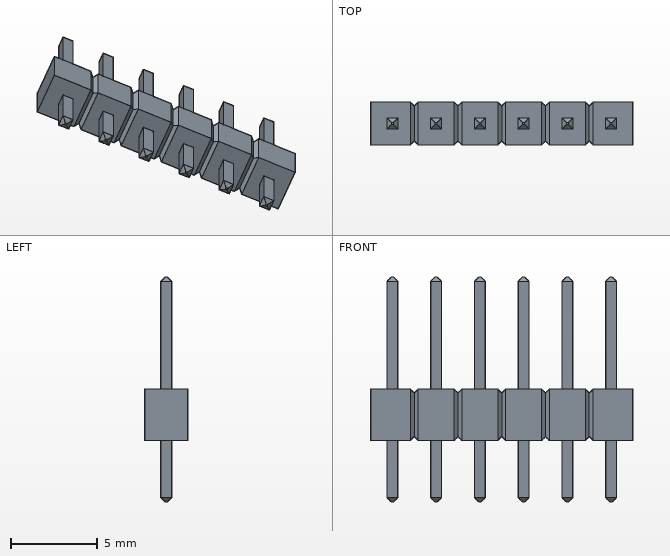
import cadquery as cq

pin_count = 6
housing_length = 15.24
housing_width = 2.5
housing_height = 3.0
groove_half_width = 0.23
pin_side = 0.64
pin_top_reach = 6.5
pin_bottom_reach = 3.57
tip_chamfer = 0.26

pitch = housing_length / pin_count
pin_length = pin_bottom_reach + housing_height + pin_top_reach
pin_positions = [(i - (pin_count - 1) / 2) * pitch for i in range(pin_count)]


def square_bar(length):
    """Vertical square bar with the pin's section, standing on Z = 0 at the origin."""
    return cq.Workplane("XY").rect(pin_side, pin_side).extrude(length)


def make_segment(index):
    """One pitch of the housing, bevelled on each end that meets a neighbour."""
    segment = cq.Workplane("XY").box(pitch, housing_width, housing_height, centered=(True, True, False))
    if index > 0:
        segment = segment.faces("<X").chamfer(groove_half_width)
    if index < pin_count - 1:
        segment = segment.faces(">X").chamfer(groove_half_width)
    return segment.translate((pin_positions[index], 0, 0))


def make_housing():
    """Row of bevelled segments; the bevels form a V-groove around each joint."""
    body = make_segment(0)
    for index in range(1, pin_count):
        body = body.union(make_segment(index))
    for x in pin_positions:
        body = body.cut(square_bar(housing_height).translate((x, 0, 0)))
    return body


def make_pin(x):
    """Square pin through the housing, with bevelled tips at both ends."""
    pin = square_bar(pin_length).faces("<Z or >Z").chamfer(tip_chamfer)
    return pin.translate((x, 0, -pin_bottom_reach))


housing = make_housing().solids()
pins = [make_pin(x).solids() for x in pin_positions]

result = cq.Compound.makeCompound([housing.val(), *[pin.val() for pin in pins]])